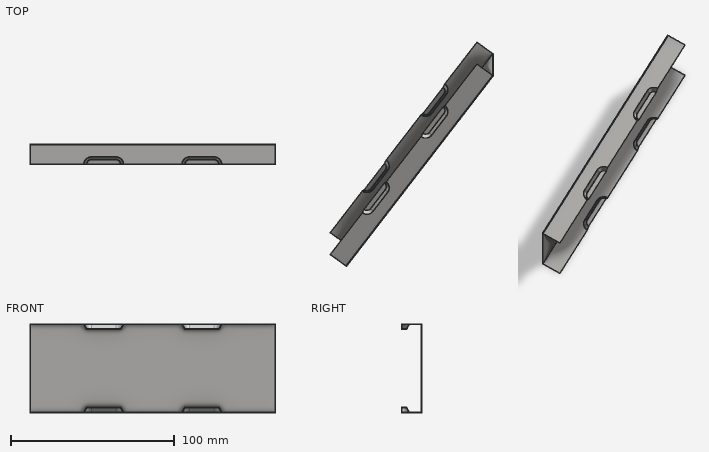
import cadquery as cq
import math

length = 150.0
depth = 12.5
height = 54.5
sheet = 0.5

pocket_offset = 30.0
pocket_straight = 15.0
mouth_radius = 4.5
pocket_depth = 3.0
wall_angle = 30.0

front_y = -depth / 2
top_z = height / 2

lean = math.radians(wall_angle)
wall_growth = sheet / math.cos(lean)


def tapered_slot(x, radius, drop):
    """Slot centred on the upper flange's free edge, narrowing downward."""
    return (
        cq.Workplane("XY", origin=(x, front_y, top_z))
        .slot2D(pocket_straight + 2 * radius, 2 * radius)
        .extrude(-drop, taper=wall_angle)
    )


def channel():
    outer = cq.Workplane("XY").box(length, depth, height)
    inner = cq.Workplane("XY").box(length, depth, height - 2 * sheet)
    return outer.cut(inner.translate((0, -sheet, 0)))


def both_flanges(shape):
    return shape.union(shape.mirror("XY"))


body = channel()
envelope = cq.Workplane("XY").box(length, depth, height)

for x in (-pocket_offset, pocket_offset):
    shell = tapered_slot(x, mouth_radius + wall_growth, pocket_depth + sheet)
    cavity = tapered_slot(x, mouth_radius, pocket_depth)
    body = body.union(both_flanges(shell.intersect(envelope)))
    body = body.cut(both_flanges(cavity))

result = body